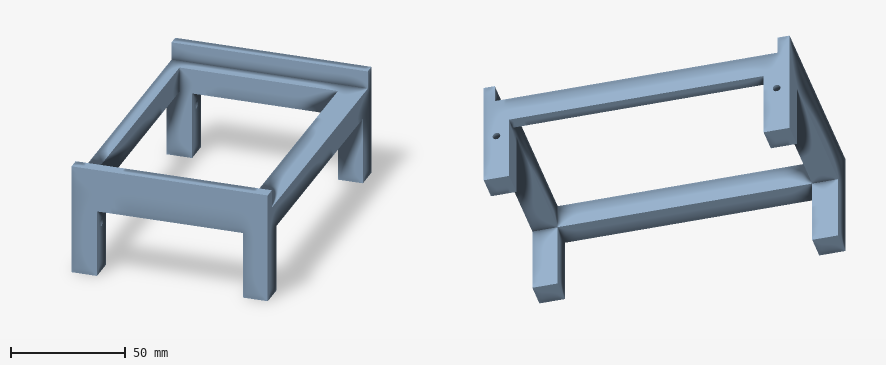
import cadquery as cq

length_x = 90.5
length_y = 138.5
height = 51.1

front_leg_depth = 11.8
back_leg_depth = 11.5
leg_width_left = 11.8
leg_width_right = 11.5
narrow_rail_width = 6.0
front_lip_thickness = 5.5
back_lip_thickness = 5.0
lip_height = 8.3
rail_depth = 11.6

hole_diameter = 3.5
hole_height = 23.3

leg_height = height - lip_height - rail_depth
opening_y = length_y - front_leg_depth - back_leg_depth
left_x = -length_x / 2
front_y = -length_y / 2
back_y = length_y / 2


def make_block(size_x, size_y, size_z, corner_x, corner_y, corner_z):
    """Return a box placed by its lowest corner."""
    block = cq.Workplane("XY").box(size_x, size_y, size_z, centered=False)
    return block.translate((corner_x, corner_y, corner_z))


def make_frame():
    """Rectangular frame whose -X rail is narrower than the +X rail."""
    opening_x = length_x - narrow_rail_width - leg_width_right
    outer = make_block(length_x, length_y, rail_depth, left_x, front_y, leg_height)
    opening = make_block(
        opening_x, opening_y, rail_depth,
        left_x + narrow_rail_width, front_y + front_leg_depth, leg_height,
    )
    return outer.cut(opening)


def add_legs(body):
    """Rectangular leg under each corner of the frame."""
    columns = ((left_x, leg_width_left), (length_x / 2 - leg_width_right, leg_width_right))
    rows = ((front_y, front_leg_depth), (back_y - back_leg_depth, back_leg_depth))
    for corner_x, width in columns:
        for corner_y, depth in rows:
            body = body.union(make_block(width, depth, leg_height, corner_x, corner_y, 0))
    return body


def add_lips(body):
    """Upright lip along each Y end of the frame."""
    lips = ((front_y, front_lip_thickness), (back_y - back_lip_thickness, back_lip_thickness))
    for corner_y, thickness in lips:
        lip = make_block(
            length_x, thickness, lip_height,
            left_x, corner_y, leg_height + rail_depth,
        )
        body = body.union(lip)
    return body


def cut_leg_holes(body):
    """Hole along X through each -X leg, stopping short of the +X legs."""
    for center_y in (front_y + front_leg_depth / 2, back_y - back_leg_depth / 2):
        hole = (
            cq.Workplane("YZ", origin=(left_x, 0, 0))
            .center(center_y, hole_height)
            .circle(hole_diameter / 2)
            .extrude(leg_width_left)
        )
        body = body.cut(hole)
    return body


result = cut_leg_holes(add_lips(add_legs(make_frame())))